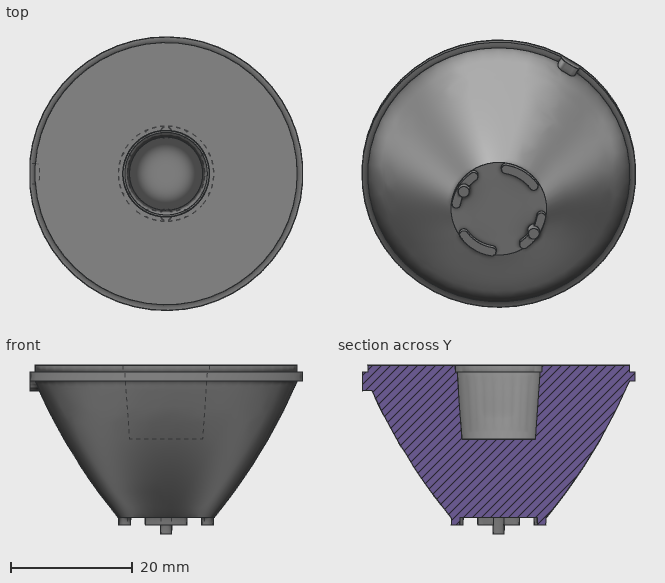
import cadquery as cq
import math

body_height = 22.4
flange_thickness = 1.5
lid_thickness = 1.1
flange_top = body_height + flange_thickness
lid_top = flange_top + lid_thickness

body_bottom_radius = 7.85
body_middle_radius = 15.75
lid_radius = 43.0 / 2
body_top_radius = lid_radius
flange_radius = 44.9 / 2

flat_distance = 22.355
tab_width = 3.4
tab_drop = 1.6
tab_corner_radius = 1.1
tab_inner_distance = 19.5

draft_angle = 4.0
draft_slope = math.tan(math.radians(draft_angle))
recess_top_radius = 14.25 / 2
recess_depth = lid_thickness
recess_bottom_radius = recess_top_radius - recess_depth * draft_slope
cavity_depth = 12.1
cavity_bottom_radius = 12.0 / 2
cavity_top_radius = cavity_bottom_radius + (cavity_depth - recess_depth) * draft_slope

foot_count = 4
foot_width = 1.5
foot_height = 1.2
foot_outer_radius = 7.82
foot_mid_radius = foot_outer_radius - foot_width / 2
foot_half_angle = 22.5
foot_draft_angle = 2.0

peg_root_diameter = 2.0
peg_draft_angle = 2.0
peg_offset = 6.76
peg_height = foot_height + 1.5


def polar_point(radius, angle):
    """Point at the given radius and angle in degrees from +X."""
    radians = math.radians(angle)
    return (radius * math.cos(radians), radius * math.sin(radians))


def make_body():
    """Revolved bowl with its flange and lid."""
    return (
        cq.Workplane("XZ")
        .lineTo(body_bottom_radius, 0)
        .threePointArc((body_middle_radius, body_height / 2), (body_top_radius, body_height))
        .lineTo(flange_radius, body_height)
        .lineTo(flange_radius, flange_top)
        .lineTo(lid_radius, flange_top)
        .lineTo(lid_radius, lid_top)
        .lineTo(0, lid_top)
        .close()
        .revolve(360, (0, 0, 0), (0, 1, 0))
    )


def make_flat_cutter():
    """Block that trims the flange to a flat on the -X side."""
    return cq.Workplane("XY").box(
        flange_radius, 2 * flange_radius, lid_top, centered=(False, True, False)
    ).translate((-flat_distance - flange_radius, 0, 0))


def make_tab():
    """Tab with rounded lower corners, flush with the flange flat."""
    length = flat_distance - tab_inner_distance
    height = tab_drop + flange_thickness
    return (
        cq.Workplane("XY")
        .box(length, tab_width, height, centered=(False, True, False))
        .edges("|X and <Z")
        .fillet(tab_corner_radius)
        .translate((-flat_distance, 0, body_height - tab_drop))
    )


def make_cavity():
    """Shallow drafted recess followed by a deeper tapered bore."""
    recess_floor = lid_top - recess_depth
    cavity_floor = lid_top - cavity_depth
    return (
        cq.Workplane("XZ")
        .moveTo(0, lid_top)
        .lineTo(recess_top_radius, lid_top)
        .lineTo(recess_bottom_radius, recess_floor)
        .lineTo(cavity_top_radius, recess_floor)
        .lineTo(cavity_bottom_radius, cavity_floor)
        .lineTo(0, cavity_floor)
        .close()
        .revolve(360, (0, 0, 0), (0, 1, 0))
    )


def make_foot(direction):
    """Drafted arc-shaped foot with round ends, centred on the given direction in degrees."""
    end_points = [polar_point(foot_mid_radius, direction + side * foot_half_angle) for side in (-1, 1)]
    round_ends = (
        cq.Workplane("XY")
        .pushPoints(end_points)
        .circle(foot_width / 2)
        .extrude(-foot_height, taper=foot_draft_angle)
    )
    root_half_width = foot_width / 2
    tip_half_width = root_half_width - foot_height * math.tan(math.radians(foot_draft_angle))
    arc_span = (
        cq.Workplane("XZ")
        .moveTo(foot_mid_radius - root_half_width, 0)
        .lineTo(foot_mid_radius + root_half_width, 0)
        .lineTo(foot_mid_radius + tip_half_width, -foot_height)
        .lineTo(foot_mid_radius - tip_half_width, -foot_height)
        .close()
        .revolve(2 * foot_half_angle, (0, 0, 0), (0, 1, 0))
        .rotate((0, 0, 0), (0, 0, 1), direction - foot_half_angle)
    )
    return arc_span.union(round_ends)


def make_pegs():
    """Pair of tapered round pegs running down from the body past the feet."""
    return (
        cq.Workplane("XY")
        .pushPoints([(0, peg_offset), (0, -peg_offset)])
        .circle(peg_root_diameter / 2)
        .extrude(-peg_height, taper=peg_draft_angle)
    )


result = make_body().cut(make_flat_cutter()).union(make_tab()).cut(make_cavity())
for index in range(foot_count):
    result = result.union(make_foot(index * 360 / foot_count))
result = result.union(make_pegs())